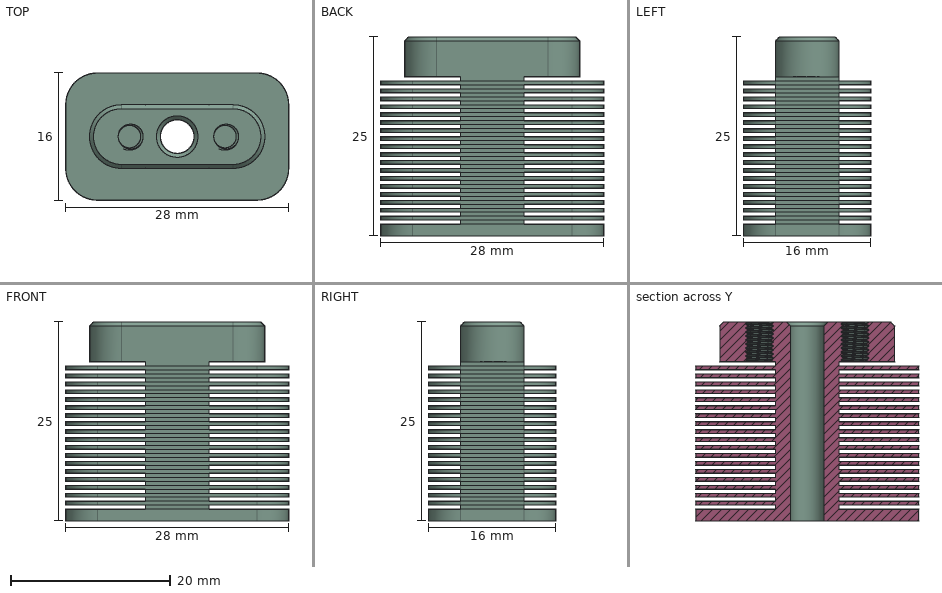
import cadquery as cq

length = 28
width = 16.0
height = 25.0

corner_radius = width / 4
base_thickness = 1.5
fin_count = 18

head_length = 22.0
head_width = width / 2
head_height = 5.0
head_chamfer = 0.5
head_bottom = height - head_height
pillar_side = head_width

fin_thickness = (head_bottom - base_thickness) / (2 * fin_count + 1)
fin_pitch = 2 * fin_thickness

bore_diameter = 4.2
bore_chamfer = 0.5

thread_spacing = 11.98
thread_major_diameter = 3.42
thread_minor_diameter = 2.83
thread_pitch = 0.5
groove_mouth = 0.88 * thread_pitch
groove_root = 0.15 * thread_pitch
groove_overlap = 0.03
thread_start_angle = 20


def rounded_plate(bottom, thickness):
    plate = cq.Workplane("XY").workplane(offset=bottom).rect(length, width).extrude(thickness)
    return plate.edges("|Z").fillet(corner_radius)


def finned_body():
    pillar_height = head_bottom - base_thickness
    pillar = cq.Workplane("XY").workplane(offset=base_thickness)
    pillar = pillar.rect(pillar_side, pillar_side).extrude(pillar_height)
    body = rounded_plate(0, base_thickness).union(pillar)
    for index in range(fin_count):
        fin_bottom = base_thickness + fin_thickness + index * fin_pitch
        body = body.union(rounded_plate(fin_bottom, fin_thickness))
    return body


def head():
    block = cq.Workplane("XY").workplane(offset=head_bottom)
    block = block.slot2D(head_length, head_width).extrude(head_height)
    return block.faces(">Z").edges().chamfer(head_chamfer)


def bore_cutter():
    radius = bore_diameter / 2
    section = (
        cq.Workplane("XZ")
        .lineTo(radius, 0)
        .lineTo(radius, height - bore_chamfer)
        .lineTo(radius + bore_chamfer, height)
        .lineTo(0, height)
        .close()
    )
    return section.revolve(360, (0, 0), (0, 1))


def thread_groove():
    minor_radius = thread_minor_diameter / 2
    major_radius = thread_major_diameter / 2
    start = head_bottom - thread_pitch
    run = head_height + 2 * thread_pitch
    helix = cq.Wire.makeHelix(thread_pitch, run, minor_radius, cq.Vector(0, 0, start))
    profile = cq.Workplane("XZ").polyline([
        (minor_radius - groove_overlap, start - groove_mouth / 2),
        (major_radius, start - groove_root / 2),
        (major_radius, start + groove_root / 2),
        (minor_radius - groove_overlap, start + groove_mouth / 2),
    ]).close()
    groove = profile.sweep(cq.Workplane(helix), isFrenet=True)
    return groove.rotate((0, 0, 0), (0, 0, 1), thread_start_angle)


def cut_threaded_holes(block):
    groove = thread_groove()
    core = cq.Workplane("XY").workplane(offset=head_bottom)
    core = core.circle(thread_minor_diameter / 2).extrude(head_height)
    for x in (-thread_spacing / 2, thread_spacing / 2):
        block = block.cut(groove.translate((x, 0, 0)))
        block = block.cut(core.translate((x, 0, 0)))
    return block


result = finned_body().union(cut_threaded_holes(head())).cut(bore_cutter())